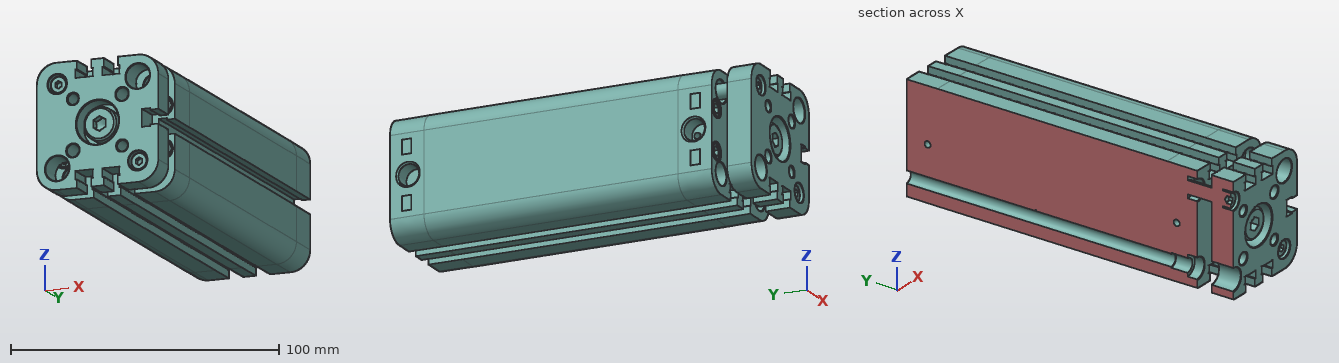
import cadquery as cq
import math


overall_length = 150.2
side = 49.0
half_side = side / 2
corner_radius = 8.0
plate_thickness = 10.0
plate_gap = 6.5
cap_length = 14.1
cap_draft = 0.32

cap_front = plate_thickness + plate_gap
body_front = cap_front + cap_length
body_rear = overall_length - cap_length

slot_throat_width = 5.7
slot_throat_depth = 3.3
slot_width = 6.9
slot_depth = 6.6
slot_offset = 5.4

corner_offset = 16.2
guide_rods = [(-corner_offset, corner_offset, 6.0), (corner_offset, -corner_offset, 5.0)]
bolt_points = [(corner_offset, corner_offset), (-corner_offset, -corner_offset)]
plate_clearance_mouth = 10.0
plate_clearance_core = 9.6
cap_recess_mouth = 9.5
cap_recess_core = 9.0
cap_recess_depth = 4.5
bolt_thread_diameter = 6.0
bolt_thread_depth = 12.0
bolt_hole_diameter = 5.3

rod_screw = dict(
    mouth=8.0, bore=7.5, bore_depth=5.0, head=6.6, sink=1.2, chamfer=0.3, socket=2.5, socket_depth=1.8
)
piston_screw = dict(
    mouth=17.5, bore=17.0, bore_depth=7.5, head=13.0, sink=2.0, chamfer=0.8, socket=5.0, socket_depth=3.0
)
cap_screw = dict(
    mouth=7.5, bore=7.0, bore_depth=5.0, head=6.3, sink=0.3, chamfer=0.3, socket=3.6, socket_depth=2.3
)
cap_screw_x = 20.0
cap_screw_z = 8.4

tool_hole_offset = 9.9
dowel_hole_mouth = 5.5
dowel_hole_core = 5.0
thread_hole_mouth = 5.0
thread_hole_core = 4.2

piston_rod_diameter = 12.0
piston_rod_flats = 10.0
piston_flat_start = 2.4
piston_rod_chamfer = 0.8

port_inset = 7.5
port_diameter = 8.5
port_mouth = 10.0
port_depth = 7.5
port_mouth_depth = 0.8
air_hole_diameter = 2.5
air_hole_shift = 2.1
air_hole_depth = 4.5

label_inset = 6.9
label_width = 3.9
label_height = 5.9
label_z = 11.1
label_depth = 0.3


def facing_front(y):
    """Workplane at y whose normal points to -Y; local axes are X and Z."""
    return cq.Workplane("XZ", origin=(0, y, 0))


def facing_side(x, y, z):
    """Workplane whose normal points to -X; local axes are -Y and Z."""
    return cq.Workplane(cq.Plane(origin=(x, y, z), xDir=(0, -1, 0), normal=(-1, 0, 0)))


def rounded_square():
    """Sketch of the outline shared by the plate, the body and the caps."""
    return cq.Sketch().rect(side, side).vertices().fillet(corner_radius)


def cylinder(x, z, y_start, y_end, diameter):
    return facing_front(y_start).center(x, z).circle(diameter / 2).extrude(y_start - y_end)


def chamfered_hole(x, z, y, depth, mouth, core):
    """Solid of a hole that starts at y with the mouth diameter and a 45 degree chamfer."""
    chamfer = (mouth - core) / 2
    outline = [(0, 0), (mouth / 2, 0), (core / 2, chamfer), (core / 2, depth), (0, depth)]
    return cq.Workplane("XY").polyline(outline).close().revolve().translate((x, y, z))


def socket_screw(x, z, y, mouth, bore, bore_depth, head, sink, chamfer, socket, socket_depth):
    """Return the hole cut from the face at y and the screw head that sits in it."""
    pocket = chamfered_hole(x, z, y, bore_depth, mouth, bore)
    head_face = y + sink
    screw = cylinder(x, z, head_face, y + bore_depth, head).faces("<Y").chamfer(chamfer)
    socket_radius = socket / math.sqrt(3)
    tip_depth = socket_depth + socket_radius / math.sqrt(3)
    hexagon = facing_front(head_face).center(x, z).transformed(rotate=(0, 0, 30))
    hexagon = hexagon.polygon(6, 2 * socket_radius).extrude(-tip_depth)
    drill_outline = [
        (0, 0),
        (socket_radius, 0),
        (socket_radius, socket_depth),
        (0, tip_depth),
    ]
    drill = cq.Workplane("XY").polyline(drill_outline).close().revolve().translate((x, head_face, z))
    return pocket, screw.cut(hexagon.intersect(drill))


def block(y_start, y_end):
    return facing_front(y_start).placeSketch(rounded_square()).extrude(y_start - y_end)


def end_caps():
    """Both caps, drafted so that they narrow away from the body."""
    front = facing_front(body_front).placeSketch(rounded_square()).extrude(cap_length, taper=cap_draft)
    rear_plane = cq.Workplane("ZX", origin=(0, body_rear, 0))
    rear = rear_plane.placeSketch(rounded_square()).extrude(cap_length, taper=cap_draft)
    return front, rear


def t_slot():
    """Slot in the +Z side that runs the whole length."""
    throat_half = slot_throat_width / 2
    floor_half = slot_width / 2
    outline = [
        (-throat_half, half_side),
        (-throat_half, half_side - slot_throat_depth),
        (-floor_half, half_side - slot_throat_depth),
        (-floor_half, half_side - slot_depth),
        (floor_half, half_side - slot_depth),
        (floor_half, half_side - slot_throat_depth),
        (throat_half, half_side - slot_throat_depth),
        (throat_half, half_side),
    ]
    return facing_front(0).polyline(outline).close().extrude(-overall_length)


def piston_rod():
    """Rod between the cap and the plate, with two wrench flats facing +X and -X."""
    rod = cylinder(0, 0, plate_thickness, cap_front, piston_rod_diameter)
    rod = rod.faces("<Y").chamfer(piston_rod_chamfer)
    flat_length = plate_gap - piston_flat_start
    flat_depth = (piston_rod_diameter - piston_rod_flats) / 2
    ramp_end = plate_thickness + flat_length
    outline = [
        (piston_rod_flats / 2, plate_thickness),
        (piston_rod_flats / 2, ramp_end),
        (piston_rod_flats / 2 + flat_depth, ramp_end + flat_depth),
        (piston_rod_flats / 2 + flat_depth, plate_thickness),
    ]
    relief = cq.Workplane("XY").polyline(outline).close().extrude(piston_rod_diameter / 2, both=True)
    return rod.cut(relief).cut(relief.mirror("YZ"))


def air_port(y, inward):
    """Port with a small air hole shifted toward the body; inward is +1 or -1 along Y."""
    port = facing_side(-half_side + port_depth, y, 0).circle(port_diameter / 2).extrude(port_depth)
    mouth = facing_side(-half_side, y, 0).circle(port_mouth / 2)
    mouth = mouth.workplane(offset=-port_mouth_depth).circle(port_diameter / 2).loft()
    air_hole = facing_side(-half_side + port_depth + air_hole_depth, y + inward * air_hole_shift, 0)
    air_hole = air_hole.circle(air_hole_diameter / 2).extrude(air_hole_depth)
    return port.union(mouth).union(air_hole)


result = block(0, plate_thickness).union(block(body_front, body_rear))
for cap in end_caps():
    result = result.union(cap)

slot = t_slot()
for x in (-slot_offset, slot_offset):
    result = result.cut(slot.translate((x, 0, 0)))
    result = result.cut(slot.rotate((0, 0, 0), (0, 1, 0), 180).translate((x, 0, 0)))
result = result.cut(slot.rotate((0, 0, 0), (0, 1, 0), 90))

for x, z in [rod[:2] for rod in guide_rods] + bolt_points:
    recess = chamfered_hole(x, z, cap_front, cap_recess_depth, cap_recess_mouth, cap_recess_core)
    result = result.cut(recess)

for x, z in bolt_points:
    clearance = chamfered_hole(x, z, 0, plate_thickness, plate_clearance_mouth, plate_clearance_core)
    thread = cylinder(x, z, cap_front, cap_front + bolt_thread_depth, bolt_thread_diameter)
    bolt_hole = cylinder(x, z, cap_front, overall_length, bolt_hole_diameter)
    result = result.cut(clearance).cut(thread).cut(bolt_hole)

for x_sign in (-1, 1):
    for z_sign in (-1, 1):
        if x_sign == z_sign:
            mouth, core = dowel_hole_mouth, dowel_hole_core
        else:
            mouth, core = thread_hole_mouth, thread_hole_core
        x = x_sign * tool_hole_offset
        z = z_sign * tool_hole_offset
        result = result.cut(chamfered_hole(x, z, 0, plate_thickness, mouth, core))

result = result.union(piston_rod())
for x, z, diameter in guide_rods:
    result = result.union(cylinder(x, z, plate_thickness, cap_front + cap_recess_depth, diameter))

screws = [(0, 0, 0, piston_screw)]
screws += [(x, z, 0, rod_screw) for x, z, _ in guide_rods]
for x in (-cap_screw_x, cap_screw_x):
    for z in (-cap_screw_z, cap_screw_z):
        screws.append((x, z, cap_front, cap_screw))
for x, z, y, sizes in screws:
    pocket, screw = socket_screw(x, z, y, **sizes)
    result = result.cut(pocket).union(screw)

for cap_end, inward in ((cap_front, 1), (overall_length, -1)):
    result = result.cut(air_port(cap_end + inward * port_inset, inward))
    for z in (-label_z, label_z):
        label = facing_side(-half_side + label_depth, cap_end + inward * label_inset, z)
        result = result.cut(label.rect(label_width, label_height).extrude(label_depth))